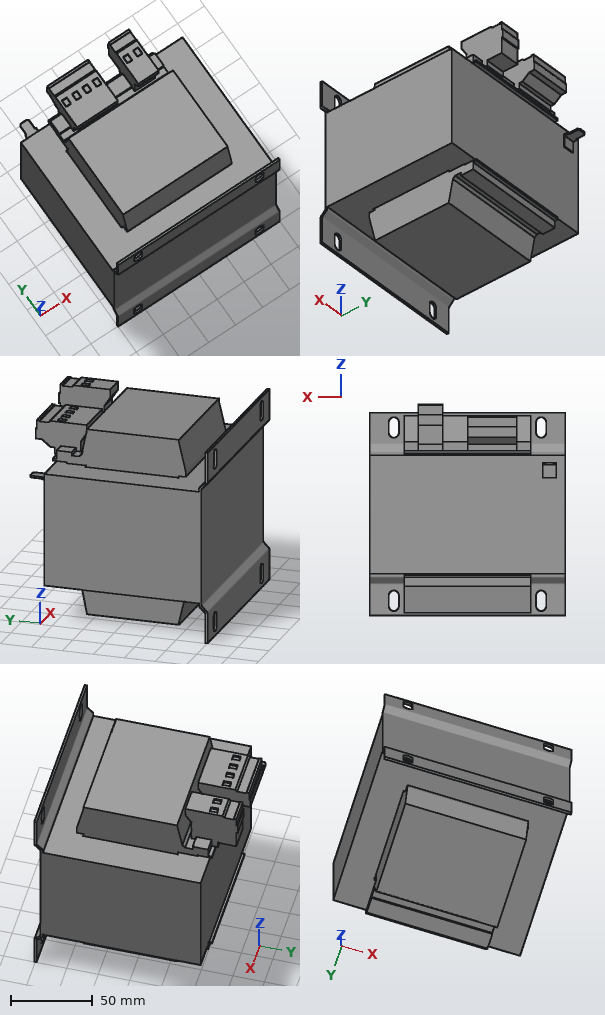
import cadquery as cq
import math


WIDTH = 120.0
PLATE_HEIGHT = 124.3
PLATE_THICKNESS = 1.5
PLATE_STEP = 4.0
FLANGE_HEIGHT = 20.2
BEND_RADIUS = 1.5
SLOT_WIDTH = 6.1
SLOT_LENGTH = 12.4
SLOT_SPACING = 90.3
SLOT_EDGE_DISTANCE = 9.0
MID_Z = PLATE_HEIGHT / 2

LEG = WIDTH / 6
CORE_BOTTOM = 25.5
CORE_TOP = 98.3
CORE_FRONT = PLATE_STEP + PLATE_THICKNESS
WINDOW_FRONT = CORE_FRONT + LEG
WINDOW_BACK = WINDOW_FRONT + 3 * LEG
CORE_BACK = WINDOW_BACK + LEG

COIL_WIDTH = 77.6
COIL_TOP = 60.4
COIL_TOP_BACK = 85.0
COIL_RIM = 1.7
FLARE_FRONT = 21.2
FLARE_HEIGHT = 40.3
FORMER_BASE = MID_Z - CORE_BOTTOM
FLANGE_BACK = 98.0
LIP_BACK = 107.0
LIP_BASE = 37.4
LIP_TOP = 38.8
RAIL_BACK = 104.6
RAIL_FRONT = 94.8
RAIL_TOP = 44.2
SHELF_TOP = 42.0
SHELF_FRONT = 90.1
SHELF_RAMP_FRONT = 88.3
SHELF_RAMP_HEIGHT = 1.7

TERMINAL_PITCH = 15.1
LOW_POSITIONS = (-2, -1)
HIGH_POSITION = 1
LOW_TOP = 121.9
HIGH_TOP = 129.3
TERMINAL_FRONT = 87.9
TERMINAL_BACK = 120.2
FOOT_FRONT = 91.8
FOOT_BACK = 108.6
FOOT_BOTTOM = MID_Z + LIP_TOP
BODY_BOTTOM = 104.9
NOSE_BACK = 121.0
NOSE_TOP_DROP = 6.2
NOSE_BOTTOM_DROP = 12.7
UNDERCUT_TOP_DROP = 5.3
UNDERCUT_BOTTOM_DROP = 11.2
RIM_FRONT = 118.6
RIM_DROP = 0.5
GROOVE_DROP = 1.2
RAMP_BACK = 112.7
RAMP_FRONT = 111.5
LOW_BEVEL_TOP_BACK = 116.9
LOW_BEVEL_BOTTOM_BACK = 111.3
WIRE_HOLE_WIDTH = 3.5
WIRE_HOLE_LENGTH = 4.7
WIRE_HOLE_DEPTH = 1.3
WIRE_HOLE_SPACING = 7.5
WIRE_HOLE_Y = 105.1

TAB_X = -50.2
TAB_TOP = 93.7
TAB_THICKNESS = 1.3
TAB_BOTTOM = 84.3
TAB_BASE_THICKNESS = 0.6
TAB_BASE_WIDTH = 8.3
TAB_SHOULDER_Y = 109.1
TAB_WIDTH = 6.6
TAB_END_Y = 116.9
TAB_CHAMFER = 1.0


def box(x_range, y_range, z_range):
    """Axis-aligned block between the given limits."""
    size = [high - low for low, high in (x_range, y_range, z_range)]
    corner = (x_range[0], y_range[0], z_range[0])
    return cq.Workplane("XY").box(*size, centered=False).translate(corner)


def side_profile(points, x_start, width):
    """Extrude an outline of (y, z) points along +X."""
    return cq.Workplane("YZ", origin=(x_start, 0, 0)).polyline(points).close().extrude(width)


def mirrored_profile(points, width):
    """Extrude the outline of (y, height) points above the middle, closed by its mirror image below."""
    upper = [(y, MID_Z + height) for y, height in points]
    lower = [(y, MID_Z - height) for y, height in reversed(points)]
    return side_profile(upper + lower, -width / 2, width)


def make_plate():
    """Sheet with flanges joggled forward at 45 degrees along its upper and lower edges."""
    bend_shift = PLATE_THICKNESS * math.tan(math.radians(45 / 2))
    flange_start = MID_Z - FLANGE_HEIGHT
    step_start = flange_start - PLATE_STEP
    front = [(PLATE_STEP, step_start), (0, flange_start), (0, MID_Z)]
    back = [
        (PLATE_THICKNESS, MID_Z),
        (PLATE_THICKNESS, flange_start + bend_shift),
        (CORE_FRONT, step_start + bend_shift),
    ]
    plate = mirrored_profile(front + back, WIDTH)
    bend_zone = cq.selectors.BoxSelector(
        (-WIDTH, -CORE_FRONT, FLANGE_HEIGHT / 2),
        (WIDTH, 2 * CORE_FRONT, PLATE_HEIGHT - FLANGE_HEIGHT / 2),
    )
    slot_z = MID_Z - SLOT_EDGE_DISTANCE
    slots = (
        cq.Workplane("XZ", origin=(0, 0, MID_Z))
        .rarray(SLOT_SPACING, 2 * slot_z, 2, 2)
        .slot2D(SLOT_LENGTH, SLOT_WIDTH, 90)
        .extrude(-PLATE_THICKNESS)
    )
    return plate.edges("|X").edges(bend_zone).fillet(BEND_RADIUS).cut(slots)


def make_core():
    """E-shaped stack closed by a straight yoke, with the coil window open from top to bottom."""
    z_range = (CORE_BOTTOM, CORE_TOP)
    half_width = WIDTH / 2
    half_window = half_width - LEG
    stack = box((-half_width, half_width), (CORE_FRONT, WINDOW_BACK), z_range)
    window = box((-half_window, half_window), (WINDOW_FRONT, WINDOW_BACK), z_range)
    yoke = box((-half_width, half_width), (WINDOW_BACK, CORE_BACK), z_range)
    return stack.cut(window).union(yoke)


def make_coil():
    """Winding through the window, flaring ends and the former's terminal rails."""
    half_width = COIL_WIDTH / 2
    winding = box(
        (-half_width, half_width),
        (WINDOW_FRONT, WINDOW_BACK),
        (MID_Z - FORMER_BASE, MID_Z + FORMER_BASE),
    )
    end_outline = [
        (FLARE_FRONT, FORMER_BASE),
        (FLARE_FRONT, FLARE_HEIGHT),
        (WINDOW_FRONT, COIL_TOP - COIL_RIM),
        (WINDOW_FRONT, COIL_TOP),
        (COIL_TOP_BACK, COIL_TOP),
        (SHELF_RAMP_FRONT, SHELF_TOP + SHELF_RAMP_HEIGHT),
        (SHELF_FRONT, SHELF_TOP),
        (RAIL_FRONT, SHELF_TOP),
        (RAIL_FRONT, RAIL_TOP),
        (RAIL_BACK, RAIL_TOP),
        (RAIL_BACK, LIP_TOP),
        (LIP_BACK, LIP_TOP),
        (LIP_BACK, LIP_BASE),
        (FLANGE_BACK, LIP_BASE),
        (FLANGE_BACK, FORMER_BASE),
    ]
    top_end = side_profile([(y, MID_Z + h) for y, h in end_outline], -half_width, COIL_WIDTH)
    bottom_end = top_end.mirror("XY", (0, 0, MID_Z))
    return winding.union(top_end).union(bottom_end)


def make_terminal(position, top, lower_back):
    """Terminal block on the upper rail; lower_back outlines its back below the latch."""
    x_start = position * TERMINAL_PITCH
    outline = [
        (FOOT_FRONT, FOOT_BOTTOM),
        (FOOT_FRONT, top - UNDERCUT_BOTTOM_DROP),
        (TERMINAL_FRONT, top - UNDERCUT_TOP_DROP),
        (TERMINAL_FRONT, top),
        (RAMP_FRONT, top),
        (RAMP_BACK, top - GROOVE_DROP),
        (RIM_FRONT, top - GROOVE_DROP),
        (RIM_FRONT, top - RIM_DROP),
        (TERMINAL_BACK, top - RIM_DROP),
        (TERMINAL_BACK, top - NOSE_TOP_DROP),
        (NOSE_BACK, top - NOSE_TOP_DROP),
        (NOSE_BACK, top - NOSE_BOTTOM_DROP),
        *lower_back,
        (FOOT_BACK, BODY_BOTTOM),
        (FOOT_BACK, FOOT_BOTTOM),
    ]
    wire_holes = (
        cq.Workplane("XY", origin=(x_start + TERMINAL_PITCH / 2, WIRE_HOLE_Y, top))
        .rarray(WIRE_HOLE_SPACING, 1.3, 2, 1)
        .rect(WIRE_HOLE_WIDTH, WIRE_HOLE_LENGTH)
        .extrude(-WIRE_HOLE_DEPTH)
    )
    return side_profile(outline, x_start, TERMINAL_PITCH).cut(wire_holes)


def make_earth_tab():
    """Angle on the back of the core with a narrowed, chamfered blade."""
    base_x = (TAB_X - TAB_BASE_WIDTH / 2, TAB_X + TAB_BASE_WIDTH / 2)
    blade_x = (TAB_X - TAB_WIDTH / 2, TAB_X + TAB_WIDTH / 2)
    blade_z = (TAB_TOP - TAB_THICKNESS, TAB_TOP)
    base = box(base_x, (CORE_BACK, CORE_BACK + TAB_BASE_THICKNESS), (TAB_BOTTOM, TAB_TOP))
    root = box(base_x, (CORE_BACK, TAB_SHOULDER_Y), blade_z)
    blade = box(blade_x, (CORE_BACK, TAB_END_Y), blade_z)
    blade = blade.edges("|Z and >Y").chamfer(TAB_CHAMFER)
    return base.union(root).union(blade)


low_back = [
    (LOW_BEVEL_TOP_BACK, LOW_TOP - NOSE_BOTTOM_DROP),
    (LOW_BEVEL_BOTTOM_BACK, BODY_BOTTOM),
]
high_back = [
    (TERMINAL_BACK, HIGH_TOP - NOSE_BOTTOM_DROP),
    (TERMINAL_BACK, BODY_BOTTOM),
]

result = make_core().union(make_plate()).union(make_coil()).union(make_earth_tab())
for low_position in LOW_POSITIONS:
    result = result.union(make_terminal(low_position, LOW_TOP, low_back))
result = result.union(make_terminal(HIGH_POSITION, HIGH_TOP, high_back))